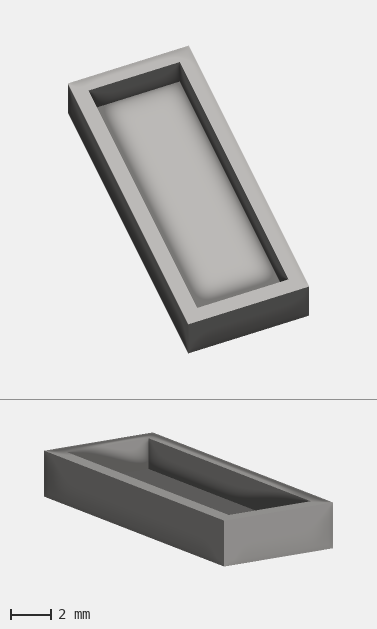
import cadquery as cq

length = 16.25
width = 6.45
height = 2.35

wall = 0.8
floor = 0.78

block = cq.Workplane("XY").box(length, width, height, centered=(True, True, False))

pocket = (
    cq.Workplane("XY")
    .workplane(offset=floor)
    .box(length - 2 * wall, width - 2 * wall, height - floor, centered=(True, True, False))
)

result = block.cut(pocket)